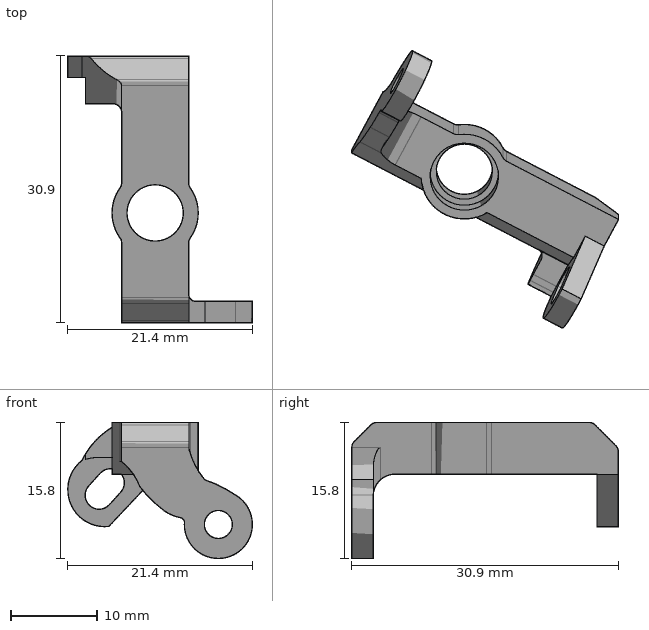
import cadquery as cq
import math

height = 6.03
half_width = 3.9
rear_y = 18.17
front_y = rear_y - 30.9
plate = 2.5
corner_radius = 1.0

boss_radius = 5.0
bore_diameter = 6.5
recess_diameter = 7.9
recess_depth = 3.0
front_chamfer = 2.5
rear_chamfer = 3.0

lug_x, lug_z = 7.32, -5.8
lug_radius = 3.95
pivot_diameter = 3.2
cove_radius = 2.5
lug_blend = 0.8
shoulder_x = 9.3
shoulder_z = lug_z + math.sqrt(lug_radius**2 - (shoulder_x - lug_x)**2)
side_bottom = 1.48

slot_x, slot_z = -5.85, -1.7
slot_angle = 48
slot_spacing = 1.95
slot_width = 3.2
rear_radius = 4.3
arm_front_y = 12.65
arm_left = -8.1
arm_bottom = 1.98
arm_crown = (-6.58, 4.23)
arm_tip = (-8.47, 1.65)
clearance_radius = 2.85
slot_end_x = slot_x + slot_spacing / 2 * math.cos(math.radians(slot_angle))
slot_end_z = slot_z + slot_spacing / 2 * math.sin(math.radians(slot_angle))

inner_front_y = front_y + plate
inner_rear_y = rear_y - plate
overlap = 3.1
cut_margin = 18.55


def along_y(profile, start, end):
    """Extrude an XZ profile from start to end along Y."""
    return profile.extrude(start - end).translate((0, start, 0))


def xz():
    return cq.Workplane("XZ")


def side_envelope():
    """Side shape with sloped ends and softened slope edges, over the full width."""
    low = -cut_margin
    envelope = (
        cq.Workplane("YZ")
        .moveTo(front_y, low)
        .lineTo(front_y, height - front_chamfer)
        .lineTo(front_y + front_chamfer, height)
        .lineTo(rear_y - rear_chamfer, height)
        .lineTo(rear_y, height - rear_chamfer)
        .lineTo(rear_y, low)
        .close()
        .extrude(cut_margin, both=True)
    )
    return envelope.edges("|X").edges(cq.selectors.BoxSelector(
        (-0.3, front_y - 0.3, 0), (0.3, rear_y + 0.3, height + 0.3))).fillet(corner_radius)


def bar():
    """Straight bar with the round boss blended into its sides."""
    length = rear_y - front_y
    body = cq.Workplane("XY").box(2 * half_width, length, height, centered=(True, False, False))
    body = body.translate((0, front_y, 0))
    body = body.union(boss())
    junction_y = math.sqrt(boss_radius**2 - half_width**2)
    junctions = cq.selectors.BoxSelector(
        (-half_width - 0.3, -junction_y - 0.3, 0), (half_width + 0.3, junction_y + 0.3, height))
    return body.edges("|Z").edges(junctions).fillet(corner_radius)


def boss():
    return cq.Workplane("XY").circle(boss_radius).extrude(height)


def front_outline():
    """Bar end sweeping down and across into the round front lug."""
    return (
        xz()
        .moveTo(-half_width, height)
        .lineTo(-half_width, side_bottom)
        .threePointArc((-3.0, 0.62), (-1.8, -1.4))
        .threePointArc((-0.62, -2.78), (0.75, -4.0))
        .threePointArc((1.85, -4.7), (2.95, -5.05))
        .threePointArc((3.28, -5.25), (lug_x - lug_radius, lug_z))
        .threePointArc((lug_x, lug_z - lug_radius), (lug_x + lug_radius, lug_z))
        .threePointArc(
            (lug_x + lug_radius * math.cos(math.pi / 6), lug_z + lug_radius * math.sin(math.pi / 6)),
            (shoulder_x, shoulder_z))
        .threePointArc((7.48, -1.33), (5.75, -0.62))
        .threePointArc((4.55, 1.25), (half_width, 3.1))
        .lineTo(half_width, height)
        .close()
    )


def front_end():
    """Front plate and lug, with the cove behind it and the sloped lower bar side."""
    solid = along_y(front_outline(), front_y, 0)
    plan = (
        cq.Workplane("XY", origin=(0, 0, -cut_margin))
        .moveTo(-half_width, front_y)
        .lineTo(cut_margin, front_y)
        .lineTo(cut_margin, inner_front_y)
        .lineTo(half_width + lug_blend, inner_front_y)
        .radiusArc((half_width, inner_front_y + lug_blend), lug_blend)
        .lineTo(half_width, 0)
        .lineTo(-half_width, 0)
        .close()
        .extrude(2 * cut_margin)
    )
    side = (
        cq.Workplane("YZ")
        .moveTo(front_y, -cut_margin)
        .lineTo(inner_front_y, -cut_margin)
        .lineTo(inner_front_y, -cove_radius)
        .radiusArc((inner_front_y + cove_radius, 0), cove_radius)
        .lineTo(0, 0)
        .lineTo(0, height)
        .lineTo(front_y, height)
        .close()
        .extrude(cut_margin, both=True)
    )
    return solid.intersect(plan).intersect(side)


def rear_plate():
    """Rear plate reaching out to the slotted lug."""
    outline = (
        xz()
        .moveTo(half_width, height)
        .lineTo(-half_width, height)
        .threePointArc(arm_crown, arm_tip)
        .threePointArc((slot_x - rear_radius, slot_z), (-5.38, -6.05))
        .lineTo(0.35, 0)
        .lineTo(half_width, 0)
        .close()
    )
    return along_y(outline, inner_rear_y, rear_y)


def arm():
    """Thick web in front of the rear plate, blended into the bar side."""
    outline = (
        xz()
        .moveTo(-half_width + overlap, height)
        .lineTo(-half_width, height)
        .threePointArc(arm_crown, arm_tip)
        .lineTo(-7.57, 1.85)
        .lineTo(-6.8, arm_bottom)
        .lineTo(-half_width + overlap, arm_bottom)
        .close()
    )
    plan = (
        cq.Workplane("XY")
        .moveTo(arm_left, rear_y)
        .lineTo(arm_left, arm_front_y)
        .lineTo(-half_width - corner_radius, arm_front_y)
        .radiusArc((-half_width, arm_front_y - corner_radius), corner_radius)
        .lineTo(0, arm_front_y - corner_radius)
        .lineTo(0, rear_y)
        .close()
        .extrude(height)
    )
    return along_y(outline, 0, rear_y).intersect(plan)


def rear_clearance():
    """Round hollow along the lower -X edge of the bar, up to the boss."""
    hollow = xz().center(slot_end_x, slot_end_z).circle(clearance_radius)
    return along_y(hollow, 0, inner_rear_y).cut(boss())


def front_lower_trim():
    """Material removed below the sloped lower side, ahead of the boss."""
    block = cq.Workplane("XY").box(
        boss_radius, -front_y, side_bottom, centered=(False, False, False)
    ).translate((-boss_radius, front_y, 0))
    return block.cut(along_y(front_outline(), front_y, 0)).cut(boss())


result = bar().cut(rear_clearance()).cut(front_lower_trim())
result = result.union(front_end()).union(arm()).union(rear_plate())
result = result.intersect(side_envelope())

bore = cq.Workplane("XY").circle(bore_diameter / 2).extrude(height)
recess = cq.Workplane("XY").circle(recess_diameter / 2).extrude(recess_depth)
pivot = along_y(xz().center(lug_x, lug_z).circle(pivot_diameter / 2), front_y, inner_front_y)
slot = along_y(
    xz().center(slot_x, slot_z).slot2D(slot_spacing + slot_width, slot_width, slot_angle),
    inner_rear_y, rear_y)
result = result.cut(bore).cut(recess).cut(pivot).cut(slot)